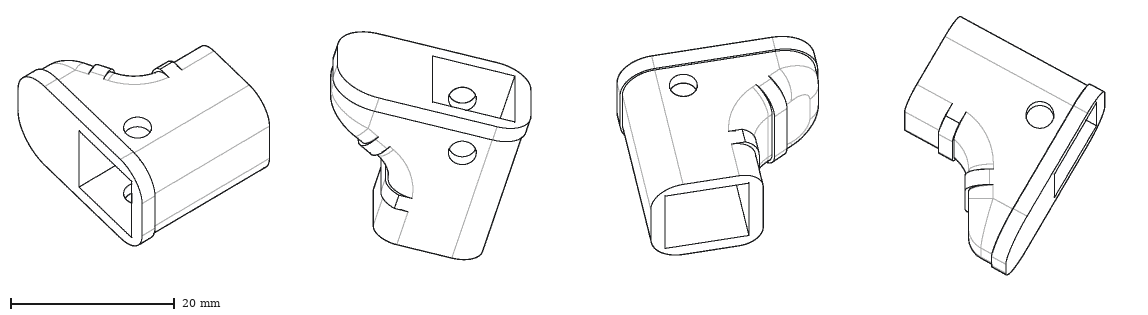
import cadquery as cq
import math

length = 24.6
depth = 20.0
height = 14.6
flange_thickness = 2.0
left_flange_radius = 5.3
right_flange_radius = 4.3

inset = 0.3
body_left = inset
body_right = length - inset
body_height = height - 2 * inset
left_radius = left_flange_radius - inset
right_radius = right_flange_radius - inset

neck_left = 10.3
neck_radius = 3.0
bend_radius = 5.17
bend_start_y = 14.02
slope_angle = 29.0
slope = math.radians(slope_angle)
bend_center_x = neck_left - bend_radius
bend_end_x = bend_center_x + bend_radius * math.sin(slope)
bend_end_y = bend_start_y - bend_radius * math.cos(slope)
half_sweep = (math.pi / 2 - slope) / 2
bend_mid_x = bend_center_x + bend_radius * math.cos(half_sweep)
bend_mid_y = bend_start_y - bend_radius * math.sin(half_sweep)
shoulder_y = bend_end_y - (bend_end_x - body_left) * math.tan(slope)
selection_margin = 0.25

collar_width = 2.0
collar_rise = 0.47
collar_depth = 4.92
shoulder_collar_gap = 0.62

square_side = 10.43
square_left = 12.1
hole_diameter = 3.4
hole_x = 17.32
hole_y = 5.0


def centered_plate(x_size, y_size, z_size):
    """Block with its lower left corner at the origin, centred on Z."""
    return cq.Workplane("XY").box(x_size, y_size, z_size, centered=(False, False, True))


def make_flange():
    flange = centered_plate(length, flange_thickness, height)
    flange = flange.edges("|Y and <X").fillet(left_flange_radius)
    return flange.edges("|Y and >X").fillet(right_flange_radius)


def make_body():
    body = (
        cq.Workplane("XY")
        .moveTo(body_left, 0)
        .lineTo(body_right, 0)
        .lineTo(body_right, depth)
        .lineTo(neck_left, depth)
        .lineTo(neck_left, bend_start_y)
        .threePointArc((bend_mid_x, bend_mid_y), (bend_end_x, bend_end_y))
        .lineTo(body_left, shoulder_y)
        .close()
        .extrude(body_height / 2, both=True)
    )
    body = body.edges("|Y and >X").fillet(right_radius)
    body = body.edges("|Y and <X").fillet(left_radius)
    neck_edges = cq.selectors.BoxSelector(
        (neck_left - selection_margin, bend_start_y, -height), (neck_left + selection_margin, depth, height)
    )
    return body.edges("|Y").edges(neck_edges).fillet(neck_radius)


def make_neck_collar():
    """Band whose rounding is offset outward, cut flush with the body's top and bottom."""
    band = centered_plate(collar_depth, collar_width, body_height + 2 * collar_rise)
    band = band.edges("|Y and <X").fillet(neck_radius + collar_rise)
    band = band.intersect(centered_plate(collar_depth, collar_width, body_height))
    return band.translate((neck_left - collar_rise, bend_start_y - collar_width / 2, 0))


def make_shoulder_collar():
    """Band on the slant, with the same rounding as the neck, shifted outward."""
    band = centered_plate(collar_width, collar_depth, body_height)
    band = band.edges("|X and >Y").fillet(neck_radius)
    band = band.translate((-shoulder_collar_gap - collar_width, collar_rise - collar_depth, 0))
    band = band.rotate((0, 0, 0), (0, 0, 1), slope_angle)
    return band.translate((bend_end_x, bend_end_y, 0))


square_passage = centered_plate(square_side, depth, square_side).translate((square_left, 0, 0))
cross_hole = (
    cq.Workplane("XY")
    .center(hole_x, hole_y)
    .circle(hole_diameter / 2)
    .extrude(height / 2, both=True)
)

result = (
    make_body()
    .union(make_flange())
    .union(make_neck_collar())
    .union(make_shoulder_collar())
    .cut(square_passage)
    .cut(cross_hole)
)